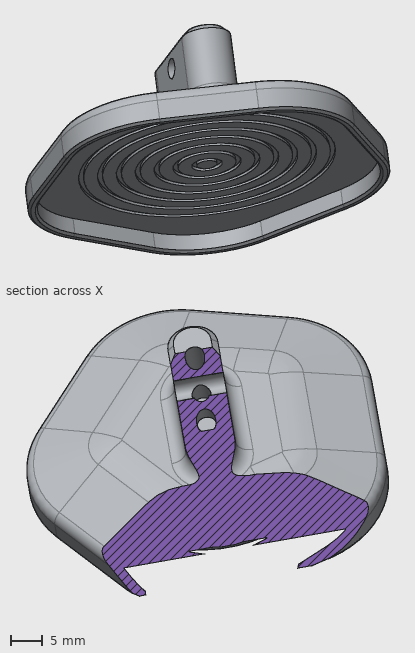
import cadquery as cq
import math


SIDES = 5
EDGE_LENGTH = 15.75
WALL_OFFSET = 16.0
CROWN_OFFSET = 3.0
WALL_HEIGHT = 5.0
SLOPE_HEIGHT = 5.0
CROWN_RADIUS = 15.0
SHOULDER_RADIUS = 2.0

RIM_WIDTH = 1.5
RIM_CHAMFER = 0.4
RECESS_DEPTH = 3.0
GROOVE_COUNT = 7
GROOVE_FIRST_RADIUS = 2.0
GROOVE_PITCH = 3.0
GROOVE_WIDTH = 0.8
GROOVE_DEPTH = 0.5

STEM_WIDTH = 8.0
STEM_LENGTH = 21.0
STEM_HEIGHT = 13.0
STEM_CHAMFER = 1.0
STEM_ROOT_RADIUS = 2.5

TIP_HOLE_DIAMETER = 3.0
TIP_HOLE_PITCH = 4.0
TIP_HOLE_COUNT = 3
TIP_HOLE_DEPTH = 8.0
CROSS_HOLE_DIAMETER = 3.2
CROSS_HOLE_HEIGHT = 9.35
CROSS_HOLE_SHIFT = 0.3

TILT_Y = -51.24
TILT_X = -10.0

RIM_LEVEL = -(WALL_HEIGHT + SLOPE_HEIGHT)
FLOOR_LEVEL = RIM_LEVEL + RECESS_DEPTH
EDGE_SEARCH_MARGIN = 0.05


def level(z):
    return cq.Workplane("XY").workplane(offset=z)


def rounded_pentagon(z, offset):
    """Pentagon with one side facing -Y, widened by the offset with arcs round its corners."""
    circumradius = EDGE_LENGTH / (2 * math.sin(math.pi / SIDES))
    half_step = math.pi / SIDES
    angles = [2 * half_step * i + half_step - math.pi / 2 for i in range(SIDES)]
    corners = [(circumradius * math.cos(a), circumradius * math.sin(a)) for a in angles]
    return level(z).polyline(corners).close().offset2D(offset)


def edges_at_level(z, half_length, half_width):
    """Selector for the edges that lie wholly in a thin slab around a level."""
    low = (-half_length, -half_width, z - EDGE_SEARCH_MARGIN)
    high = (half_length, half_width, z + EDGE_SEARCH_MARGIN)
    return cq.selectors.BoxSelector(low, high, boundingbox=True)


def make_dish():
    """Upright block with its top edge cut to the slope, and a rounded shoulder below it."""
    block = rounded_pentagon(RIM_LEVEL, WALL_OFFSET).extrude(WALL_HEIGHT + SLOPE_HEIGHT)
    dish = block.faces(">Z").chamfer(SLOPE_HEIGHT, WALL_OFFSET - CROWN_OFFSET)
    reach = EDGE_LENGTH + WALL_OFFSET
    return dish.edges(edges_at_level(-SLOPE_HEIGHT, reach, reach)).fillet(SHOULDER_RADIUS)


def add_recess(dish):
    """Shallow pocket that leaves a narrow rim, chamfered on both of its edges."""
    recess = rounded_pentagon(RIM_LEVEL, WALL_OFFSET - RIM_WIDTH).extrude(RECESS_DEPTH)
    return dish.cut(recess).faces("<Z").chamfer(RIM_CHAMFER)


def add_stem(dish):
    """Oblong post with a chamfered tip, blended into the crown."""
    post = level(0).slot2D(STEM_LENGTH, STEM_WIDTH).extrude(STEM_HEIGHT).faces(">Z").chamfer(STEM_CHAMFER)
    half_length = STEM_LENGTH / 2 + EDGE_SEARCH_MARGIN
    half_width = STEM_WIDTH / 2 + EDGE_SEARCH_MARGIN
    root = edges_at_level(0, half_length, half_width)
    return dish.union(post).edges(root).fillet(STEM_ROOT_RADIUS)


def round_crown(body):
    """Large rounding along the crown edge, which runs into the root of the stem."""
    reach = EDGE_LENGTH + WALL_OFFSET
    stem_reach = STEM_LENGTH / 2 + STEM_ROOT_RADIUS + EDGE_SEARCH_MARGIN
    stem_side = STEM_WIDTH / 2 + STEM_ROOT_RADIUS + EDGE_SEARCH_MARGIN
    crown_edges = edges_at_level(0, reach, reach) - edges_at_level(0, stem_reach, stem_side)
    return body.edges(crown_edges).fillet(CROWN_RADIUS)


def make_holes():
    """Row of blind holes from the tip and one hole across the stem."""
    tip_holes = (
        level(STEM_HEIGHT - TIP_HOLE_DEPTH)
        .rarray(TIP_HOLE_PITCH, 1, TIP_HOLE_COUNT, 1)
        .circle(TIP_HOLE_DIAMETER / 2)
        .extrude(TIP_HOLE_DEPTH)
    )
    cross_hole = (
        cq.Workplane("XZ")
        .center(CROSS_HOLE_SHIFT, CROSS_HOLE_HEIGHT)
        .circle(CROSS_HOLE_DIAMETER / 2)
        .extrude(STEM_WIDTH, both=True)
    )
    return tip_holes.union(cross_hole)


def make_grooves():
    """Concentric ring grooves in the recess floor."""
    grooves = cq.Workplane("XY")
    for i in range(GROOVE_COUNT):
        radius = GROOVE_FIRST_RADIUS + i * GROOVE_PITCH
        outer = radius + GROOVE_WIDTH / 2
        inner = radius - GROOVE_WIDTH / 2
        grooves = grooves.add(level(FLOOR_LEVEL).circle(outer).circle(inner).extrude(GROOVE_DEPTH))
    return grooves.combine()


body = round_crown(add_stem(add_recess(make_dish())))
part = body.cut(make_holes()).cut(make_grooves())
result = part.rotate((0, 0, 0), (0, 1, 0), TILT_Y).rotate((0, 0, 0), (1, 0, 0), TILT_X)